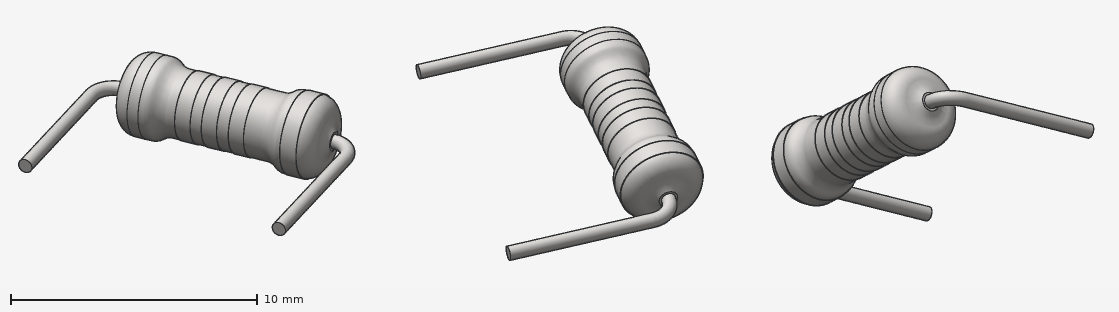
import cadquery as cq
import math

overall_length = 12.03
overall_width = 8.97
wire_radius = 0.3
lead_x = overall_length / 2 - wire_radius
bend_radius = 0.99
bend_start_x = lead_x - bend_radius

head_radius = 3.52 / 2
waist_radius = 2.9 / 2
end_x = 4.51
end_round = 0.76
collar_radius = 0.4
waist_half_length = 2.17
flank_end_x = 3.01
flank_blend = 0.6

head_band_radius = 3.57 / 2
end_band_radius = 1.77
waist_band_radius = 2.95 / 2

lead_tip_y = head_band_radius - overall_width

bands = [
    (-3.74, -3.25, end_band_radius),
    (-1.75, -1.05, waist_band_radius),
    (-0.54, 0.15, waist_band_radius),
    (0.67, 1.36, waist_band_radius),
    (3.14, 3.87, head_band_radius),
]


def half_body():
    """Revolve the +X half of the body, with its flared waist and rounded head."""
    flank_mid_x = waist_half_length + flank_blend * (flank_end_x - waist_half_length)
    flank_mid_radius = waist_radius + flank_blend * (head_radius - waist_radius)
    round_start_x = end_x - end_round
    round_inner_radius = head_radius - end_round
    round_mid = end_round * math.sqrt(0.5)
    profile = (
        cq.Workplane("XY")
        .lineTo(0, waist_radius)
        .lineTo(waist_half_length, waist_radius)
        .tangentArcPoint((flank_mid_x, flank_mid_radius), relative=False)
        .tangentArcPoint((flank_end_x, head_radius), relative=False)
        .lineTo(round_start_x, head_radius)
        .threePointArc(
            (round_start_x + round_mid, round_inner_radius + round_mid),
            (end_x, round_inner_radius),
        )
        .tangentArcPoint((bend_start_x, collar_radius), relative=False)
        .lineTo(bend_start_x, 0)
        .close()
    )
    return profile.revolve(360, (0, 0, 0), (1, 0, 0))


def band(start_x, stop_x, radius):
    """Solid disc that raises one colour band above the body."""
    return cq.Workplane("YZ", origin=(start_x, 0, 0)).circle(radius).extrude(stop_x - start_x)


def lead():
    """Wire leaving the +X end of the body and bending a quarter turn towards -Y."""
    bend_mid = bend_radius * math.sqrt(0.5)
    path = (
        cq.Workplane("XY")
        .lineTo(bend_start_x, 0)
        .threePointArc(
            (bend_start_x + bend_mid, bend_mid - bend_radius),
            (lead_x, -bend_radius),
        )
        .lineTo(lead_x, lead_tip_y)
    )
    return cq.Workplane("YZ").circle(wire_radius).sweep(path)


half = half_body().union(lead())
result = half.union(half.mirror("YZ"))
for start_x, stop_x, radius in bands:
    result = result.union(band(start_x, stop_x, radius))